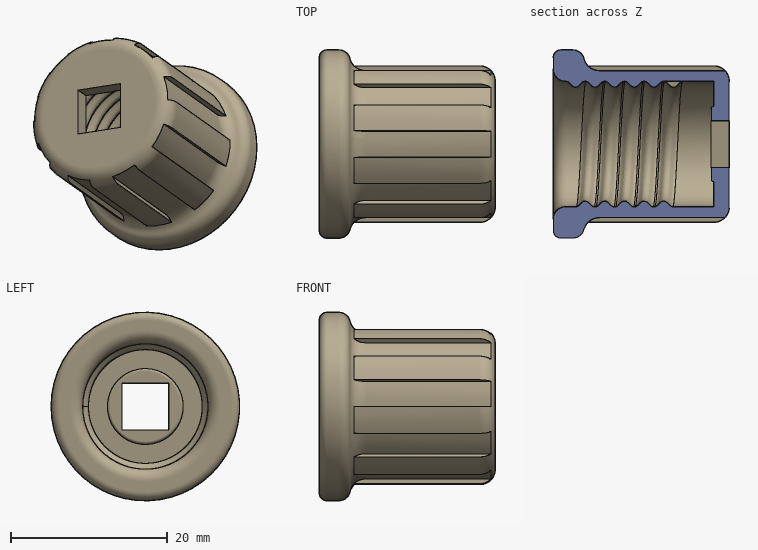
import cadquery as cq
import math


length = 22.5
flange_radius = 12.05

front_round = 1.01
flange_back_start = 2.5
flange_back_round = 1.5
neck_round = 2.0

groove_count = 9
groove_angle = 180.0 / groove_count
rib_radius = 10.0
groove_radius = 9.4
end_round = 2.0

bore_radius = 8.0
mouth_round = 1.6
floor_thickness = 2.0
floor_x = length - floor_thickness

thread_minor_radius = 7.25
thread_pitch = 2.5
thread_turns = 5
flank_angle = math.radians(45)
root_trim_angle = math.radians(10)
thread_embed = 0.25
thread_depth = bore_radius - thread_minor_radius

seat_radius = 4.85
seat_round = 0.34
window_side = 5.93

clearance = 0.48

back_center_y = flange_radius - flange_back_round
neck_center_y = groove_radius + neck_round
center_gap = flange_back_round + neck_round
neck_x = flange_back_start + math.sqrt(center_gap**2 - (neck_center_y - back_center_y)**2)
rib_start_x = neck_x - math.sqrt(neck_round**2 - (neck_center_y - rib_radius)**2)


def arc_midpoint(center, radius, start, end):
    """Middle of the short arc between two points of a circle."""
    mid_x = (start[0] + end[0]) / 2 - center[0]
    mid_y = (start[1] + end[1]) / 2 - center[1]
    scale = radius / math.hypot(mid_x, mid_y)
    return (center[0] + mid_x * scale, center[1] + mid_y * scale)


def arc_to(profile, center, radius, start, end):
    """Extend a profile from its current point, start, along a circle to end."""
    return profile.threePointArc(arc_midpoint(center, radius, start, end), end)


def revolve_about_x(profile, angle=360.0):
    return profile.close().revolve(angle, (0, 0, 0), (1, 0, 0))


def make_blank():
    """Solid flange and grip, before the grooves and the bore."""
    front_center = (front_round, flange_radius - front_round)
    front_start = (0, front_center[1])
    front_end = (front_round, flange_radius)

    back_center = (flange_back_start, back_center_y)
    neck_center = (neck_x, neck_center_y)
    share = flange_back_round / center_gap
    blend = (
        flange_back_start + share * (neck_x - flange_back_start),
        back_center_y + share * (neck_center_y - back_center_y),
    )
    back_start = (flange_back_start, flange_radius)
    rib_start = (rib_start_x, rib_radius)

    end_center = (length - end_round, rib_radius - end_round)
    end_start = (end_center[0], rib_radius)
    end_tip = (length, end_center[1])

    profile = cq.Workplane("XY").lineTo(*front_start)
    profile = arc_to(profile, front_center, front_round, front_start, front_end)
    profile = profile.lineTo(*back_start)
    profile = arc_to(profile, back_center, flange_back_round, back_start, blend)
    profile = arc_to(profile, neck_center, neck_round, blend, rib_start)
    profile = profile.lineTo(*end_start)
    profile = arc_to(profile, end_center, end_round, end_start, end_tip)
    return revolve_about_x(profile.lineTo(length, 0))


def make_groove():
    """Cutter for one grip groove, running out along the neck round."""
    groove_start = (rib_start_x, rib_radius)
    neck_end = (neck_x, groove_radius)
    outer_radius = rib_radius + clearance
    end_x = length + clearance
    profile = cq.Workplane("XY").moveTo(*groove_start)
    profile = arc_to(profile, (neck_x, neck_center_y), neck_round, groove_start, neck_end)
    profile = profile.lineTo(end_x, groove_radius).lineTo(end_x, outer_radius)
    return revolve_about_x(profile.lineTo(rib_start_x, outer_radius), groove_angle)


def make_bore():
    """Bore with its rounded mouth, leaving the raised seat on the floor."""
    mouth_center = (mouth_round, bore_radius + mouth_round)
    mouth_start = (0, mouth_center[1])
    mouth_end = (mouth_round, bore_radius)
    seat_center = (floor_x, seat_radius - seat_round)
    seat_base = (floor_x, seat_radius)
    seat_top = (floor_x - seat_round, seat_center[1])

    profile = cq.Workplane("XY").lineTo(*mouth_start)
    profile = arc_to(profile, mouth_center, mouth_round, mouth_start, mouth_end)
    profile = profile.lineTo(floor_x, bore_radius).lineTo(*seat_base)
    profile = arc_to(profile, seat_center, seat_round, seat_base, seat_top)
    return revolve_about_x(profile.lineTo(seat_top[0], 0))


def make_thread():
    """Helical ridge with straight flanks and crest and root arcs of one radius."""
    half_pitch = thread_pitch / 2
    sine = math.sin(flank_angle)
    cosine = math.cos(flank_angle)

    arc_radius = (half_pitch * sine - thread_depth * cosine) / (2 * (1 - cosine))
    root_center_y = bore_radius - arc_radius
    crest_x = arc_radius * sine
    crest_y = thread_minor_radius + arc_radius * (1 - cosine)
    flank_x = half_pitch - arc_radius * sine
    flank_y = root_center_y + arc_radius * cosine

    root_x = half_pitch - arc_radius * math.sin(root_trim_angle)
    root_y = root_center_y + arc_radius * math.cos(root_trim_angle)
    outer_y = bore_radius + thread_embed

    profile = cq.Workplane("XZ").moveTo(outer_y, -root_x).lineTo(root_y, -root_x)
    profile = arc_to(
        profile, (root_center_y, -half_pitch), arc_radius, (root_y, -root_x), (flank_y, -flank_x)
    )
    profile = profile.lineTo(crest_y, -crest_x)
    profile = profile.threePointArc((thread_minor_radius, 0), (crest_y, crest_x))
    profile = profile.lineTo(flank_y, flank_x)
    profile = arc_to(
        profile, (root_center_y, half_pitch), arc_radius, (flank_y, flank_x), (root_y, root_x)
    )
    profile = profile.lineTo(outer_y, root_x).close()

    helix = cq.Wire.makeHelix(thread_pitch, thread_pitch * thread_turns, bore_radius)
    ridge = profile.sweep(cq.Workplane(obj=helix), isFrenet=True)

    return (
        ridge.rotate((0, 0, 0), (0, 0, 1), 90)
        .rotate((0, 0, 0), (0, 1, 0), 90)
        .translate((mouth_round + half_pitch, 0, 0))
    )


body = make_blank()

groove = make_groove()
for index in range(groove_count):
    body = body.cut(groove.rotate((0, 0, 0), (1, 0, 0), 2 * index * groove_angle))

window = cq.Workplane("YZ").rect(window_side, window_side).extrude(length)
body = body.cut(make_bore()).cut(window)
result = body.union(make_thread(), clean=False)